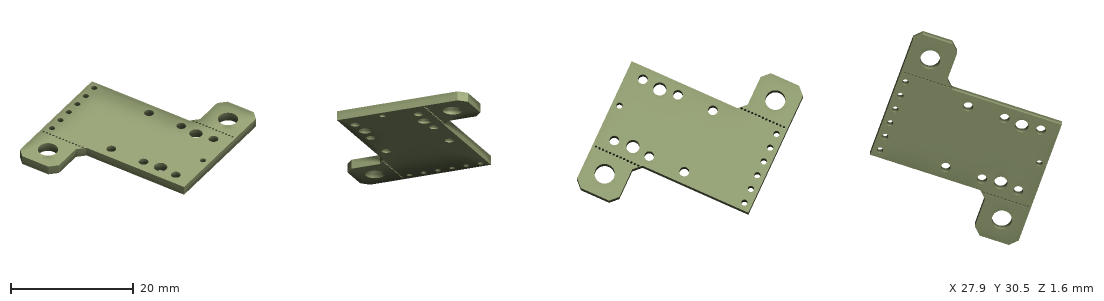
import cadquery as cq

thickness = 1.6
grid = 1.27
body_width = 22 * grid
body_height = 12 * grid
tab_size = 6 * grid
corner_cut = grid

half_width = body_width / 2
half_body = body_height / 2
half_total = half_body + tab_size

mount_diameter = 3.3

perforation_diameter = 0.38
perforation_pitch = grid / 2
perforation_count = 13
perforation_offset = 0.254

pin_diameter = 1.02
pin_pitch = 2 * grid
pin_count = 6
pin_inset = grid

connector_centre_y = 0.035

terminal_diameter = 1.6
terminal_pitch = 6.3
terminal_count = 3
terminal_row_offset = 5.655
last_terminal_x = 11.04

locator_diameter = 2.2
locator_x = 7.85
locator_offset = 5.305


def half_turn(points):
    """Rotate points by 180 degrees about the board centre."""
    return [(-x, -y) for x, y in points]


def make_board():
    """Extrude the outline, which repeats itself after half a turn."""
    tab_left = half_width - tab_size
    upper_tab = [
        (half_width, half_total - corner_cut),
        (half_width - corner_cut, half_total),
        (tab_left + corner_cut, half_total),
        (tab_left, half_total - corner_cut),
        (tab_left, half_body + corner_cut),
        (tab_left - corner_cut, half_body),
        (-half_width, half_body),
    ]
    outline = upper_tab + half_turn(upper_tab)
    return cq.Workplane("XY").polyline(outline).close().extrude(thickness)


def drill(board, points, diameter):
    """Cut through holes of one diameter at the given points."""
    drills = cq.Workplane("XY").pushPoints(points).circle(diameter / 2).extrude(thickness)
    return board.cut(drills)


def mount_points():
    upper = [(half_width - tab_size / 2, half_body + tab_size / 2)]
    return upper + half_turn(upper)


def perforation_points():
    row_y = half_body + perforation_offset
    upper = [(half_width - (i + 1) * perforation_pitch, row_y) for i in range(perforation_count)]
    return upper + half_turn(upper)


def pin_points():
    first_y = -(pin_count - 1) * pin_pitch / 2
    header = [(-half_width + pin_inset, first_y + i * pin_pitch) for i in range(pin_count)]
    return header + [(half_width - pin_inset, 0)]


def connector_pair(x, offset):
    """Two points at x, one below and one above the connector centre line."""
    return [(x, connector_centre_y - offset), (x, connector_centre_y + offset)]


def terminal_points():
    columns = [last_terminal_x - i * terminal_pitch for i in range(terminal_count)]
    return [point for x in columns for point in connector_pair(x, terminal_row_offset)]


def locator_points():
    return connector_pair(locator_x, locator_offset)


result = make_board()
result = drill(result, mount_points(), mount_diameter)
result = drill(result, perforation_points(), perforation_diameter)
result = drill(result, pin_points(), pin_diameter)
result = drill(result, terminal_points(), terminal_diameter)
result = drill(result, locator_points(), locator_diameter)